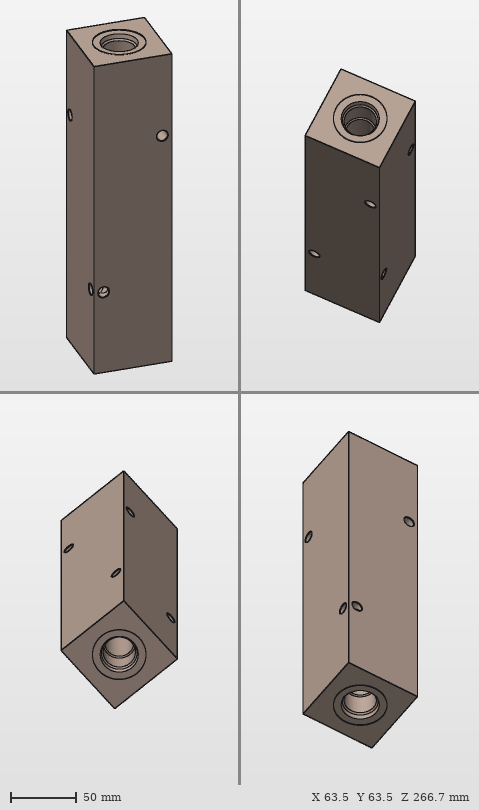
import cadquery as cq
import math

WIDTH = 63.5
LENGTH = 266.7
EDGE_CHAMFER = 0.25

SPOTFACE_DIAMETER = 41.0
SPOTFACE_DEPTH = 0.75
SEAT_MOUTH_DIAMETER = 29.2
SEAT_DEPTH = 3.5
SEAT_HALF_ANGLE = 15.0
THREAD_BORE_DIAMETER = 24.7
THREAD_BORE_DEPTH = 23.0
DRILL_POINT_ANGLE = 118.0
PASSAGE_DIAMETER = 22.2

MOUNT_DIAMETER = 8.6
MOUNT_MOUTH_DIAMETER = 9.6
MOUNT_OFFSET = 23.85
MOUNT_HEIGHT = 63.6


def make_bar():
    return cq.Workplane("XY").box(WIDTH, WIDTH, LENGTH).edges().chamfer(EDGE_CHAMFER)


def make_end_port():
    """Cutter for the upper port: spotface, seat, 45 degree lead-in, bore and drill point."""
    end_z = LENGTH / 2
    seat_top = end_z - SPOTFACE_DEPTH
    seat_bottom = seat_top - SEAT_DEPTH
    seat_radius = SEAT_MOUTH_DIAMETER / 2
    seat_floor_radius = seat_radius - SEAT_DEPTH * math.tan(math.radians(SEAT_HALF_ANGLE))
    bore_radius = THREAD_BORE_DIAMETER / 2
    lead_in_bottom = seat_bottom - (seat_floor_radius - bore_radius)
    bore_bottom = seat_top - THREAD_BORE_DEPTH
    drill_tip = bore_bottom - bore_radius / math.tan(math.radians(DRILL_POINT_ANGLE / 2))
    return (
        cq.Workplane("XZ")
        .moveTo(0, end_z)
        .lineTo(SPOTFACE_DIAMETER / 2, end_z)
        .lineTo(SPOTFACE_DIAMETER / 2, seat_top)
        .lineTo(seat_radius, seat_top)
        .lineTo(seat_floor_radius, seat_bottom)
        .lineTo(bore_radius, lead_in_bottom)
        .lineTo(bore_radius, bore_bottom)
        .lineTo(0, drill_tip)
        .close()
        .revolve(360, (0, 0, 0), (0, 1, 0))
    )


def make_passage():
    return cq.Workplane("XY").circle(PASSAGE_DIAMETER / 2).extrude(LENGTH / 2, both=True)


def make_mount_hole():
    """Cutter lying along Z across the full width, chamfered at both mouths."""
    chamfer = (MOUNT_MOUTH_DIAMETER - MOUNT_DIAMETER) / 2
    half_width = WIDTH / 2
    mouth_radius = MOUNT_MOUTH_DIAMETER / 2
    hole_radius = MOUNT_DIAMETER / 2
    return (
        cq.Workplane("XZ")
        .moveTo(0, -half_width)
        .lineTo(mouth_radius, -half_width)
        .lineTo(hole_radius, chamfer - half_width)
        .lineTo(hole_radius, half_width - chamfer)
        .lineTo(mouth_radius, half_width)
        .lineTo(0, half_width)
        .close()
        .revolve(360, (0, 0, 0), (0, 1, 0))
    )


def make_mount_holes():
    """Two holes along Y and two along X, in diagonally opposed corners of each face."""
    along_y = make_mount_hole().rotate((0, 0, 0), (1, 0, 0), 90)
    along_x = make_mount_hole().rotate((0, 0, 0), (0, 1, 0), 90)
    holes = cq.Workplane("XY")
    for side in (1, -1):
        offset = side * MOUNT_OFFSET
        height = side * MOUNT_HEIGHT
        holes = holes.add(along_y.translate((-offset, 0, height)))
        holes = holes.add(along_x.translate((0, offset, height)))
    return holes.combine()


upper_port = make_end_port()
lower_port = upper_port.mirror("XY")

result = (
    make_bar()
    .cut(make_passage())
    .cut(upper_port)
    .cut(lower_port)
    .cut(make_mount_holes())
)